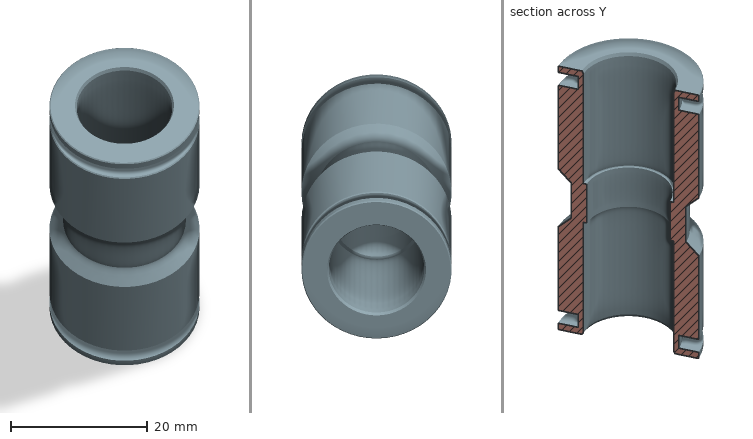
import cadquery as cq

total_length = 47.0
outer_diameter = 22.0

flange_thickness = 1.2
neck_diameter = 15.8
neck_length = 2.2
flange_chamfer = 0.15

body_chamfer = 0.15

waist_diameter = 18.0
waist_length = 6.3

socket_diameter = 14.0
socket_depth = 20.0
mouth_taper_width = 0.25
mouth_taper_depth = 0.5
passage_diameter = 13.0

half_length = total_length / 2
outer_radius = outer_diameter / 2
neck_radius = neck_diameter / 2
waist_radius = waist_diameter / 2
socket_radius = socket_diameter / 2
passage_radius = passage_diameter / 2
flange_start = half_length - flange_thickness
body_end = flange_start - neck_length
cone_start = waist_length / 2
cone_end = cone_start + outer_radius - waist_radius
socket_floor = half_length - socket_depth


upper_corners = [
    (waist_radius, cone_start),
    (outer_radius, cone_end),
    (outer_radius, body_end - body_chamfer),
    (outer_radius - body_chamfer, body_end),
    (neck_radius, body_end),
    (neck_radius, flange_start),
    (outer_radius, flange_start),
    (outer_radius, half_length - flange_chamfer),
    (outer_radius - flange_chamfer, half_length),
    (socket_radius + mouth_taper_width, half_length),
    (socket_radius, half_length - mouth_taper_depth),
    (socket_radius, socket_floor),
    (passage_radius, socket_floor),
]

lower_corners = [(radius, -height) for radius, height in reversed(upper_corners)]

section = cq.Workplane("XZ").polyline(upper_corners + lower_corners).close()
result = section.revolve(360, (0, 0, 0), (0, 1, 0))